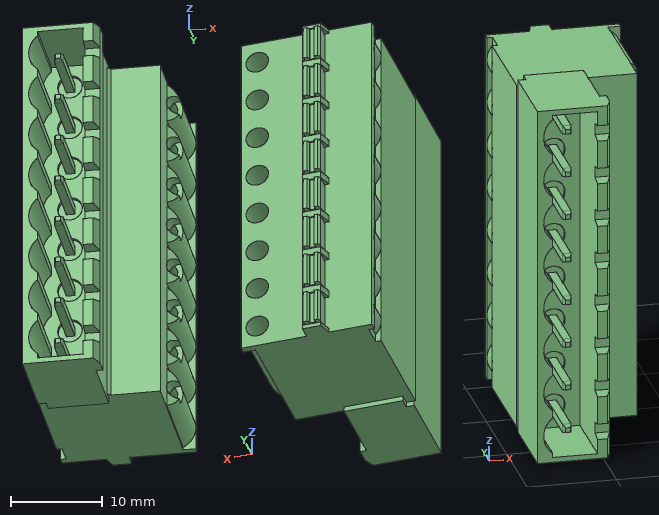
import cadquery as cq


pole_count = 8
pole_pitch = 5.0
pole_heights = [(i - (pole_count - 1) / 2) * pole_pitch for i in range(pole_count)]

header_height = 41.3
header_left = 0.12
header_right = 7.75
header_step_y = 9.63
header_back_y = 10.85
end_wall_left = 1.05

body_height = 40.12
body_front_y = 10.12
body_back_y = 25.05
body_right = 13.6
lip_right = 15.0
lip_thickness = 0.8
lip_front_y = body_back_y - lip_thickness
corner_fillet_leg = 0.37

latch_right = 8.5
latch_length = 2.98
latch_tip_x = 7.97
latch_slope_length = 1.3
notch_front_width = 1.8
notch_back_width = 1.25

pocket_depth = 8.68
pocket_left = 1.8
pocket_right = 6.85
pocket_height = body_height
lobe_radius = 2.6
lobe_reach_x = 0.83
lobe_center_x = lobe_reach_x + lobe_radius

pin_x = 3.85
pin_width = 0.95
pin_tip_width = 0.55
pin_tip_y = 1.25
pin_taper_length = 0.65
pin_recess_radius = 1.35
pin_recess_depth = 0.4

dome_radius = pole_pitch / 2
dome_center_x = lip_right - dome_radius
dome_front_y = 14.15
dome_slope = 0.9
screw_x = 14.6
screw_radius = 1.05
screw_seat_y = 16.25
through_x = 13.15
through_radius = 1.3

groove_depth = 0.6
groove_front_y = 21.75
groove_back_y = 24.15
pad_width = 3.25

rail_left_foot = 4.9
rail_left = 5.37
rail_right = 7.48
rail_height = 1.5
rail_back_y = body_back_y + rail_height
lever_width = 3.93
lever_gap = 0.12
ridge_width = 0.6
ridge_height = 0.45
ridge_left_edges = [rail_left, 6.6]
ridge_bevel_width = 0.2
ridge_bevel_height = 0.3


def box(x_range, y_range, height, z_center=0):
    """Box between two X values and two Y values, centred on z_center."""
    x0, x1 = x_range
    y0, y1 = y_range
    return (
        cq.Workplane("XY", origin=(0, 0, z_center - height / 2))
        .moveTo(x0, y0)
        .lineTo(x1, y0)
        .lineTo(x1, y1)
        .lineTo(x0, y1)
        .close()
        .extrude(height)
    )


def prism(points, height, z_center=0):
    """Outline in X and Y extruded along Z, centred on z_center."""
    base = cq.Workplane("XY", origin=(0, 0, z_center - height / 2))
    return base.polyline(points).close().extrude(height)


def cylinder_along_y(x, z, radius, y0, y1):
    """Round bar parallel to Y from y0 to y1."""
    return cq.Workplane("XZ", origin=(x, y0, z)).circle(radius).extrude(y0 - y1)


def make_body():
    block = box((0, body_right), (body_front_y, body_back_y), body_height)
    left_skirt = box((0, end_wall_left), (header_step_y, body_front_y), body_height)
    lip = box((0, lip_right), (lip_front_y, body_back_y), body_height)
    web = prism(
        [
            (header_right, body_front_y),
            (header_right + corner_fillet_leg, body_front_y),
            (header_right, body_front_y - corner_fillet_leg),
        ],
        body_height,
    )
    return block.union(left_skirt).union(lip).union(web)


def make_header():
    return prism(
        [
            (header_left, 0),
            (latch_tip_x, 0),
            (latch_right, latch_slope_length),
            (latch_right, latch_length),
            (header_right, latch_length),
            (header_right, header_back_y),
            (end_wall_left, header_back_y),
            (end_wall_left, header_step_y),
            (header_left, header_step_y),
        ],
        header_height,
    )


def make_pocket():
    pocket = box((pocket_left, pocket_right), (0, pocket_depth), pocket_height)
    for z in pole_heights:
        pocket = pocket.union(cylinder_along_y(lobe_center_x, z, lobe_radius, 0, pocket_depth))
    return pocket.intersect(box((0, pocket_right), (0, pocket_depth), pocket_height))


def make_latch_notch(z):
    """Tapered notch through the header's right wall and its latch rail."""
    front = notch_front_width / 2
    back = notch_back_width / 2
    outline = [
        (0, z - front),
        (latch_slope_length, z - back),
        (latch_slope_length, z + back),
        (0, z + front),
    ]
    base = cq.Workplane("YZ", origin=(pocket_right, 0, 0))
    return base.polyline(outline).close().extrude(latch_right - pocket_right)


def make_pin(z):
    shoulder_y = pin_tip_y + pin_taper_length
    root_y = pocket_depth + pin_recess_depth
    half = pin_width / 2
    shank = box((pin_x - half, pin_x + half), (shoulder_y, root_y), pin_width, z)
    tip = (
        cq.Workplane("XZ", origin=(pin_x, shoulder_y, z))
        .rect(pin_width, pin_width)
        .workplane(offset=pin_taper_length)
        .rect(pin_tip_width, pin_tip_width)
        .loft(ruled=True)
    )
    return shank.union(tip)


def make_screw_domes():
    """Half-round housings beside the body with a slanted underside."""
    overhang = lip_right - body_right
    envelope = prism(
        [
            (body_right, dome_front_y),
            (lip_right, dome_front_y + dome_slope * overhang),
            (lip_right, lip_front_y),
            (body_right, lip_front_y),
        ],
        body_height,
    )
    domes = cq.Workplane("XY")
    for z in pole_heights:
        domes = domes.add(cylinder_along_y(dome_center_x, z, dome_radius, dome_front_y, lip_front_y))
    return domes.combine().intersect(envelope)


def make_screw_hole(z):
    """Wide bore that breaks out of the dome, then an offset hole to the back."""
    wide = cylinder_along_y(screw_x, z, screw_radius, dome_front_y, screw_seat_y)
    through = cylinder_along_y(through_x, z, through_radius, screw_seat_y, body_back_y)
    return wide.union(through)


def make_groove():
    """Groove along the left side, leaving one rounded pad per pole."""
    groove = box((0, groove_depth), (groove_front_y, groove_back_y), body_height)
    pad_radius = ((pad_width / 2) ** 2 + groove_depth**2) / (2 * groove_depth)
    for z in pole_heights:
        groove = groove.cut(cylinder_along_y(pad_radius, z, pad_radius, groove_front_y, groove_back_y))
    return groove


def make_rail():
    """Sloped rail on the back face with a straight-sided lever at each pole."""
    rail = prism(
        [
            (rail_left_foot, body_back_y),
            (rail_right, body_back_y),
            (rail_right, rail_back_y),
            (rail_left, rail_back_y),
        ],
        body_height,
    )
    opening_width = lever_width + 2 * lever_gap
    ridge_back_y = rail_back_y + ridge_height
    for z in pole_heights:
        opening = box((rail_left_foot, rail_right), (body_back_y, rail_back_y), opening_width, z)
        lever = box((rail_left, rail_right), (body_back_y, rail_back_y), lever_width, z)
        rail = rail.cut(opening).union(lever)
        for left in ridge_left_edges:
            ridge = prism(
                [
                    (left, rail_back_y),
                    (left + ridge_width, rail_back_y),
                    (left + ridge_width, ridge_back_y),
                    (left + ridge_bevel_width, ridge_back_y),
                    (left, ridge_back_y - ridge_bevel_height),
                ],
                lever_width,
                z,
            )
            rail = rail.union(ridge)
    return rail


result = make_body().union(make_header()).union(make_screw_domes()).union(make_rail())
result = result.cut(make_pocket()).cut(make_groove())

for pole_z in pole_heights:
    recess_end_y = pocket_depth + pin_recess_depth
    recess = cylinder_along_y(pin_x, pole_z, pin_recess_radius, pocket_depth, recess_end_y)
    result = result.cut(make_latch_notch(pole_z)).cut(make_screw_hole(pole_z)).cut(recess)
    result = result.union(make_pin(pole_z))